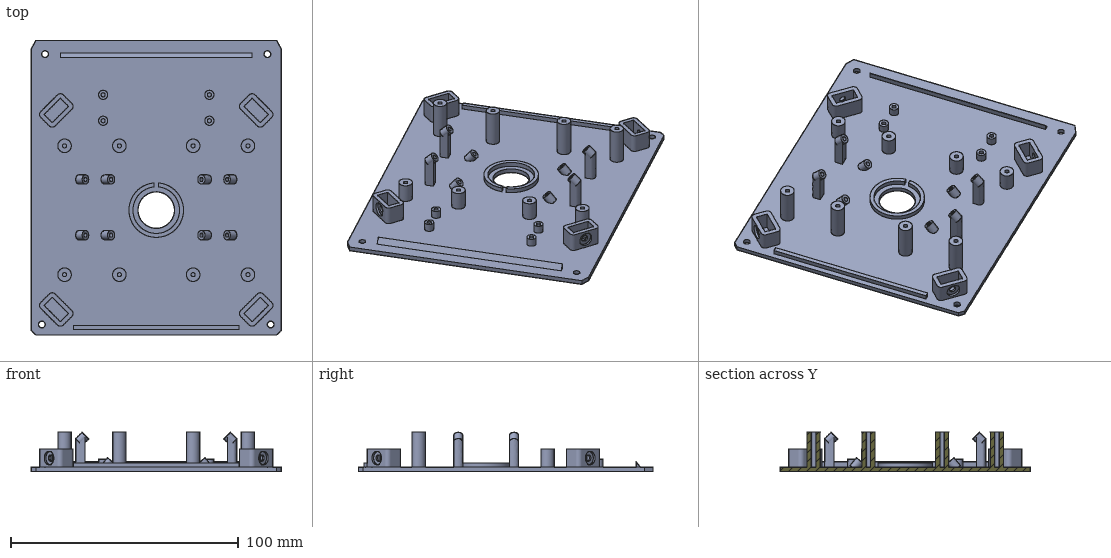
import cadquery as cq
import math

PLATE_WIDTH = 110.0
PLATE_LENGTH = 129.6
PLATE_THICKNESS = 2.0
OVERALL_HEIGHT = 17.5
CORNER_CUT_X = 2.1
FRONT_CORNER_CUT_Y = 2.1
REAR_CORNER_CUT_Y = 3.9
MOUNTING_HOLE_DIAMETER = 2.9
FRONT_HOLE_X, FRONT_HOLE_Y = 50.3, -60.1
REAR_HOLE_X, REAR_HOLE_Y = 48.9, 58.7

CENTRE_Y = -9.9
OPENING_DIAMETER = 16.0
COLLAR_OUTER_DIAMETER = 24.0
COLLAR_INNER_DIAMETER = 20.5
COLLAR_HEIGHT = 2.0
COLLAR_GAP = 2.0

RIB_WIDTH = 2.0
FRONT_RIB_LENGTH = 72.8
FRONT_RIB_Y = -61.4
FRONT_RIB_HEIGHT = 2.0
REAR_RIB_LENGTH = 84.0
REAR_RIB_FRONT_Y = 57.3
REAR_RIB_HEIGHT = 2.5

PILOT_DIAMETER = 1.8
POST_DIAMETER = 6.0
POST_X = (16.2, 40.3)
FRONT_POST_Y, REAR_POST_Y = -38.2, 18.4
FRONT_POST_HEIGHT = OVERALL_HEIGHT - PLATE_THICKNESS
REAR_POST_HEIGHT = 8.0
PIN_DIAMETER = 4.0
PIN_X = 23.3
PIN_Y = (29.4, 40.8)
PIN_HEIGHT = 3.5

BOX_X = 44.0
FRONT_BOX_Y, REAR_BOX_Y = -53.5, 34.0
FRONT_BOX_ANGLE, REAR_BOX_ANGLE = 225, 135
BOX_LENGTH = 14.0
BOX_WIDTH = 9.0
BOX_CORNER_RADIUS = 1.8
BOX_HEIGHT = 8.0
BOX_WALL = 2.0
SCREW_HEIGHT = BOX_HEIGHT / 2
SCREW_DIAMETER = 2.9
COUNTERBORE_DIAMETER = 6.0
COUNTERBORE_DEPTH = 1.0

SOCKET_DIAMETER = 4.1
OUTER_SOCKET_LENGTH = 4.0
INNER_SOCKET_LENGTH = 4.4
SOCKET_HOLE_DEPTH = 2.6
SOCKET_Y = (-20.9, 3.6)
OUTER_FACE_X = 31.1
OUTER_FACE_HEIGHT = 13.9
OUTER_TILT = 44
INNER_FACE_X = 19.8
INNER_FACE_HEIGHT = 2.9
INNER_TILT = 50
COLUMN_WIDTH = 4.0
COLUMN_INNER_X = 31.2


def block(length, width, height, x=0, y=0):
    """Rectangular block standing on the top of the plate."""
    return (
        cq.Workplane("XY", origin=(x, y, PLATE_THICKNESS))
        .rect(length, width)
        .extrude(height)
    )


def make_plate():
    side = PLATE_WIDTH / 2
    end = PLATE_LENGTH / 2
    right_edge = [
        (side - CORNER_CUT_X, -end),
        (side, -end + FRONT_CORNER_CUT_Y),
        (side, end - REAR_CORNER_CUT_Y),
        (side - CORNER_CUT_X, end),
    ]
    left_edge = [(-x, y) for x, y in reversed(right_edge)]
    hole_points = [
        (sign * x, y)
        for sign in (-1, 1)
        for x, y in ((FRONT_HOLE_X, FRONT_HOLE_Y), (REAR_HOLE_X, REAR_HOLE_Y))
    ]
    return (
        cq.Workplane("XY")
        .polyline(right_edge + left_edge)
        .close()
        .extrude(PLATE_THICKNESS)
        .faces(">Z")
        .workplane(origin=(0, 0, 0))
        .pushPoints(hole_points)
        .hole(MOUNTING_HOLE_DIAMETER)
        .pushPoints([(0, CENTRE_Y)])
        .hole(OPENING_DIAMETER)
    )


def make_collar():
    ring = (
        cq.Workplane("XY", origin=(0, CENTRE_Y, PLATE_THICKNESS))
        .circle(COLLAR_OUTER_DIAMETER / 2)
        .circle(COLLAR_INNER_DIAMETER / 2)
        .extrude(COLLAR_HEIGHT)
    )
    reach = COLLAR_OUTER_DIAMETER / 2
    gap = block(COLLAR_GAP, reach, COLLAR_HEIGHT, y=CENTRE_Y + reach / 2)
    return ring.cut(gap)


def make_rear_rib():
    """Right-triangular rib with its upright face toward the front."""
    return (
        cq.Workplane("YZ", origin=(0, REAR_RIB_FRONT_Y, PLATE_THICKNESS))
        .polyline([(0, 0), (RIB_WIDTH, 0), (0, REAR_RIB_HEIGHT)])
        .close()
        .extrude(REAR_RIB_LENGTH / 2, both=True)
    )


def make_tubes(points, diameter, height):
    return (
        cq.Workplane("XY", origin=(0, 0, PLATE_THICKNESS))
        .pushPoints(points)
        .circle(diameter / 2)
        .circle(PILOT_DIAMETER / 2)
        .extrude(height)
    )


def make_box(x, y, outward_angle):
    """Open-topped box with a counterbored screw hole in its outward long wall."""
    pocket = block(BOX_WIDTH - 2 * BOX_WALL, BOX_LENGTH - 2 * BOX_WALL, BOX_HEIGHT)
    body = block(BOX_WIDTH, BOX_LENGTH, BOX_HEIGHT).edges("|Z").fillet(BOX_CORNER_RADIUS)
    wall_face = cq.Workplane("YZ", origin=(BOX_WIDTH / 2, 0, PLATE_THICKNESS + SCREW_HEIGHT))
    screw_hole = wall_face.circle(SCREW_DIAMETER / 2).extrude(-BOX_WIDTH / 2)
    counterbore = wall_face.circle(COUNTERBORE_DIAMETER / 2).extrude(-COUNTERBORE_DEPTH)
    box = body.cut(pocket).cut(screw_hole).cut(counterbore)
    return box.rotate((0, 0, 0), (0, 0, 1), outward_angle).translate((x, y, 0))


def socket_plane(face_x, face_height, tilt, y):
    """Plane on the open face of a left-hand socket, its normal pointing out of the bore."""
    angle = math.radians(tilt)
    return cq.Plane(
        origin=(-face_x, y, PLATE_THICKNESS + face_height),
        xDir=(0, 1, 0),
        normal=(math.cos(angle), 0, math.sin(angle)),
    )


def socket_cylinder(plane, diameter, depth):
    """Cylinder reaching back from the open face of a socket."""
    return cq.Workplane(plane).circle(diameter / 2).extrude(-depth)


def make_column(y):
    """Column under a left-hand outer socket: flat inner side, elliptical outer side.

    The ellipse is the plan outline of the tilted lower end of the socket, and the
    column stops at the axis height of the socket.
    """
    angle = math.radians(OUTER_TILT)
    end_x = -OUTER_FACE_X - OUTER_SOCKET_LENGTH * math.cos(angle)
    end_height = OUTER_FACE_HEIGHT - OUTER_SOCKET_LENGTH * math.sin(angle)
    bulge = SOCKET_DIAMETER / 2 * math.sin(angle)
    half_width = COLUMN_WIDTH / 2
    rounded = (
        cq.Workplane("XY", origin=(end_x, y, PLATE_THICKNESS))
        .ellipse(bulge, half_width)
        .extrude(OUTER_FACE_HEIGHT)
    )
    straight_length = -COLUMN_INNER_X - end_x
    straight = block(
        straight_length, COLUMN_WIDTH, OUTER_FACE_HEIGHT, end_x + straight_length / 2, y
    )
    inner_height = OUTER_FACE_HEIGHT - (COLUMN_INNER_X - OUTER_FACE_X) * math.tan(angle)
    envelope = (
        cq.Workplane("XZ", origin=(0, y, PLATE_THICKNESS))
        .polyline([
            (end_x - bulge, 0),
            (-COLUMN_INNER_X, 0),
            (-COLUMN_INNER_X, inner_height),
            (end_x, end_height),
            (end_x - bulge, end_height + SOCKET_DIAMETER / 2 * math.cos(angle)),
        ])
        .close()
        .extrude(COLUMN_WIDTH, both=True)
    )
    return rounded.union(straight).intersect(envelope)


def with_mirror(left_half):
    return left_half.union(left_half.mirror("YZ"))


left_front_posts = [(-x, FRONT_POST_Y) for x in POST_X]
left_rear_posts = [(-x, REAR_POST_Y) for x in POST_X]
left_pins = [(-PIN_X, y) for y in PIN_Y]

left_features = (
    make_tubes(left_front_posts, POST_DIAMETER, FRONT_POST_HEIGHT)
    .union(make_tubes(left_rear_posts, POST_DIAMETER, REAR_POST_HEIGHT))
    .union(make_tubes(left_pins, PIN_DIAMETER, PIN_HEIGHT))
    .union(make_box(-BOX_X, FRONT_BOX_Y, FRONT_BOX_ANGLE))
    .union(make_box(-BOX_X, REAR_BOX_Y, REAR_BOX_ANGLE))
)
for socket_y in SOCKET_Y:
    outer_plane = socket_plane(OUTER_FACE_X, OUTER_FACE_HEIGHT, OUTER_TILT, socket_y)
    inner_plane = socket_plane(INNER_FACE_X, INNER_FACE_HEIGHT, INNER_TILT, socket_y)
    left_features = left_features.union(make_column(socket_y))
    for plane, length in ((outer_plane, OUTER_SOCKET_LENGTH), (inner_plane, INNER_SOCKET_LENGTH)):
        left_features = (
            left_features.union(socket_cylinder(plane, SOCKET_DIAMETER, length))
            .cut(socket_cylinder(plane, PILOT_DIAMETER, SOCKET_HOLE_DEPTH))
        )

front_rib = block(FRONT_RIB_LENGTH, RIB_WIDTH, FRONT_RIB_HEIGHT, y=FRONT_RIB_Y)

result = (
    make_plate()
    .union(make_collar())
    .union(front_rib)
    .union(make_rear_rib())
    .union(with_mirror(left_features))
)